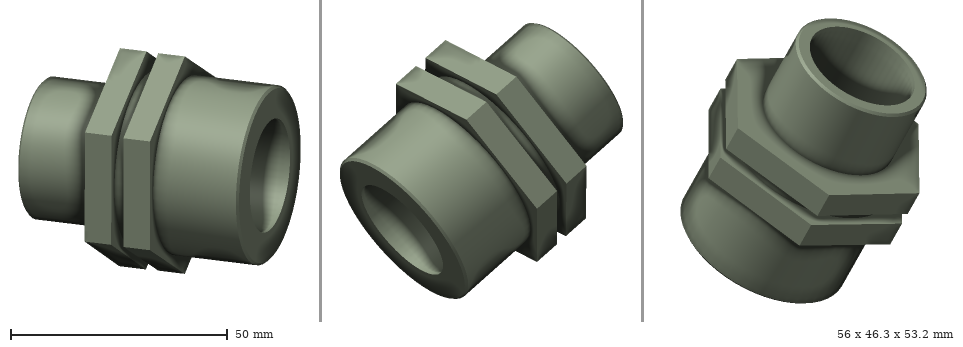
import cadquery as cq
import math

length = 56.0
end_chamfer = 0.55

bore_diameter = 26.6
small_diameter = 33.25
large_diameter = 41.9

hex_corners = 53.15
hex_thickness = 6.55
first_hex_start = 19.0
second_hex_start = 28.5
first_hex_turn = -0.5


def cylinder(diameter, start, end):
    """Solid cylinder along X between two stations."""
    return cq.Workplane("YZ").workplane(offset=start).circle(diameter / 2).extrude(end - start)


def hex_nut(start, turn):
    """Hexagonal plate with one corner close to +Z, turned about X."""
    corner_angles = [math.radians(90 + turn + 60 * i) for i in range(6)]
    corners = [(hex_corners / 2 * math.cos(a), hex_corners / 2 * math.sin(a)) for a in corner_angles]
    return cq.Workplane("YZ").workplane(offset=start).polyline(corners).close().extrude(hex_thickness)


small_tube = cylinder(small_diameter, 0, first_hex_start + hex_thickness)
small_tube = small_tube.faces("<X").chamfer(end_chamfer)
large_tube = cylinder(large_diameter, first_hex_start, length)
large_tube = large_tube.faces(">X").chamfer(end_chamfer)

body = small_tube.union(large_tube)
body = body.union(hex_nut(first_hex_start, first_hex_turn))
body = body.union(hex_nut(second_hex_start, 0))

result = body.cut(cylinder(bore_diameter, 0, length))